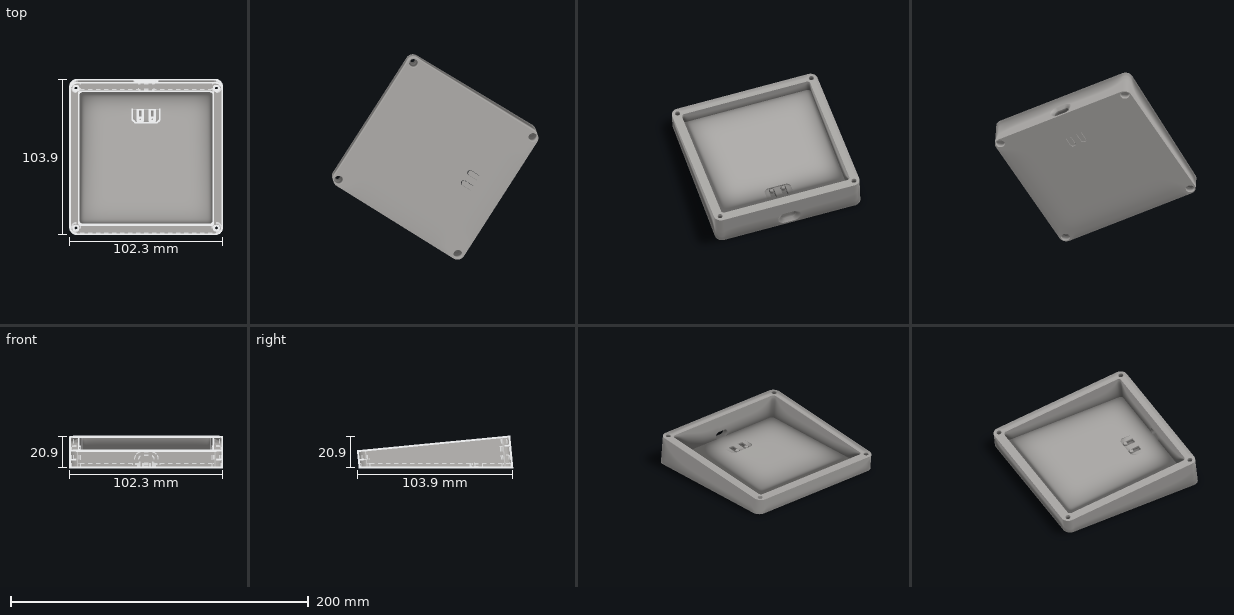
import math

import cadquery as cq

TILT = 5.5
SIDE = 102.34
BACK_HEIGHT = 20.91
CORNER_RADIUS = 5.0
WALL = 6.0
CAVITY_RADIUS = 2.0
FLOOR = 3.0

SCREW_INSET = 4.0
SCREW_DIAMETER = 3.5
HEAD_DIAMETER = 6.0
SCREW_GRIP = 6.0

PORT_LENGTH = 10.4
PORT_HEIGHT = 5.6
PORT_Z = 5.45
MOUTH_LENGTH = 15.8
MOUTH_HEIGHT = 9.4
FLARE_DEPTH = (MOUTH_HEIGHT - PORT_HEIGHT) / 2

PAD_WIDTH = 18.35
PAD_LENGTH = 9.0
PAD_CHAMFER = 1.9
PAD_BACK_Y = 33.1

BUTTON_PITCH = 8.1
BUTTON_OFFSET = 0.1
BUTTON_WIDTH = 3.84
BUTTON_LENGTH = 8.4
BUTTON_SETBACK = 0.4
BUTTON_BACK_Y = PAD_BACK_Y - BUTTON_SETBACK
BUTTON_FRONT_Y = BUTTON_BACK_Y - BUTTON_LENGTH
OPENING_RADIUS = 1.8
SIDE_GAP = 0.3
FRONT_GAP = 0.6
TONGUE_THICKNESS = 1.0
PIN_DIAMETER = 2.5
PIN_Y = BUTTON_FRONT_Y + FRONT_GAP + PIN_DIAMETER / 2

SIN = math.sin(math.radians(TILT))
COS = math.cos(math.radians(TILT))
TAN = SIN / COS
RIM_NORMAL = (0, -SIN, COS)
ALONG_WALLS = cq.selectors.ParallelDirSelector(cq.Vector(*RIM_NORMAL))
RIM_CENTRE_Z = BACK_HEIGHT - SIDE / 2 * SIN
REACH = 2 * BACK_HEIGHT


def tilted_plane(y, z):
    """Workplane parallel to the rim through (0, y, z)."""
    return cq.Workplane(cq.Plane(origin=(0, y, z), xDir=(1, 0, 0), normal=RIM_NORMAL))


def above(z):
    """Block covering everything above the given height."""
    return cq.Workplane("XY").workplane(offset=z).rect(2 * SIDE, 2 * SIDE).extrude(REACH)


def rounded_column(side, radius):
    """Square column with rounded corners, hanging down from the rim plane."""
    column = tilted_plane(0, RIM_CENTRE_Z).rect(side, side).extrude(-REACH)
    return column.edges(ALONG_WALLS).fillet(radius)


def tray():
    """Wedge with a flat base and a cavity with a level floor."""
    body = rounded_column(SIDE, CORNER_RADIUS).intersect(above(0))
    cavity = rounded_column(SIDE - 2 * WALL, CAVITY_RADIUS).intersect(above(FLOOR))
    return body.cut(cavity)


def screw_holes():
    """Four narrow holes below the rim, opening into wider head bores from the base."""
    pitch = SIDE - 2 * SCREW_INSET
    rim = tilted_plane(0, RIM_CENTRE_Z).rect(pitch, pitch, forConstruction=True).vertices()
    shank = rim.circle(SCREW_DIAMETER / 2).extrude(-REACH)
    seat = tilted_plane(0, RIM_CENTRE_Z).workplane(offset=-SCREW_GRIP)
    heads = seat.rect(pitch, pitch, forConstruction=True).vertices().circle(HEAD_DIAMETER / 2)
    return shank.union(heads.extrude(-REACH))


def port():
    """Obround channel through the back wall with a flared mouth."""
    outer_z = PORT_Z + WALL * SIN
    outer_y = SIDE / 2 * COS + (RIM_CENTRE_Z + SIDE / 2 * SIN - outer_z) * TAN
    outer_face = cq.Plane(origin=(0, outer_y, outer_z), xDir=(1, 0, 0), normal=(0, -COS, -SIN))
    channel = cq.Workplane(outer_face).slot2D(PORT_LENGTH, PORT_HEIGHT).extrude(WALL)
    mouth = cq.Workplane(outer_face).slot2D(MOUTH_LENGTH, MOUTH_HEIGHT)
    flare = mouth.workplane(offset=FLARE_DEPTH).slot2D(PORT_LENGTH, PORT_HEIGHT).loft(ruled=True)
    return channel.union(flare)


def pad_recess():
    """Recess that deepens towards -Y, with its front corners cut off."""
    plane = tilted_plane(PAD_BACK_Y, FLOOR)
    block = plane.center(0, -PAD_LENGTH / 2).rect(PAD_WIDTH, PAD_LENGTH).extrude(REACH)
    return block.edges(ALONG_WALLS).edges("<Y").chamfer(PAD_CHAMFER)


def button_strip(x, width, front_y, radius, height):
    """Vertical-sided strip from the back of a button to a rounded front end."""
    length = BUTTON_BACK_Y - front_y
    strip = cq.Workplane("XY").center(x, front_y + length / 2).rect(width, length).extrude(height)
    return strip.edges("|Z and <Y").fillet(radius)


def button_opening(x):
    """Opening through the floor around one button."""
    return button_strip(x, BUTTON_WIDTH, BUTTON_FRONT_Y, OPENING_RADIUS, FLOOR)


def button(x):
    """Tongue level with the base, with a tilted pin standing on it."""
    width = BUTTON_WIDTH - 2 * SIDE_GAP
    radius = OPENING_RADIUS - SIDE_GAP
    tongue = button_strip(x, width, BUTTON_FRONT_Y + FRONT_GAP, radius, TONGUE_THICKNESS)
    pin = tilted_plane(PIN_Y, FLOOR).center(x, 0).circle(PIN_DIAMETER / 2).extrude(-REACH)
    return tongue.union(pin.intersect(above(0)))


result = tray().cut(screw_holes()).cut(port()).cut(pad_recess())
for side in (-1, 1):
    button_x = BUTTON_OFFSET + side * BUTTON_PITCH / 2
    result = result.cut(button_opening(button_x)).union(button(button_x))